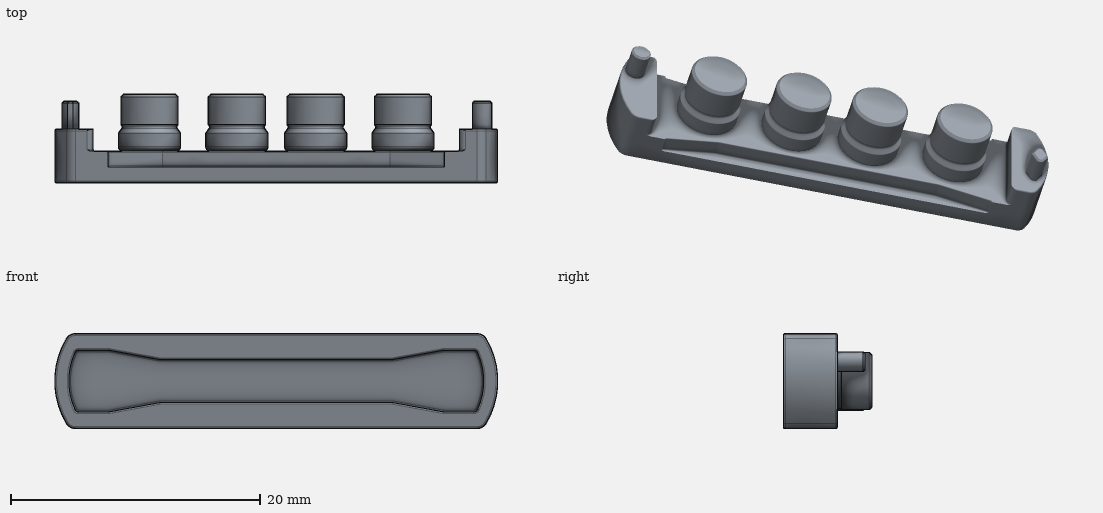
import cadquery as cq
import math

length = 35.52
height = 7.62
half_length = length / 2
half_height = height / 2
end_radius = 6.6
end_corner_radius = 0.85
rim_radius = 0.15

reach = 0.1

post_depth = 4.32
plate_depth = 2.54
plug_tip = 7.11
pin_tip = 6.55

post_inner_x = 14.68
post_corner_radius = 0.5
post_root_radius = 0.15
plate_edge_radius = 0.1

waist_step = 0.75

waist_start_x = 13.4
waist_end_x = 9.3
recess_margin = 1.13
recess_half_height = 2.47
recess_depth = 0.8
recess_fillet = 0.13
recess_corner_radius = 0.3

pocket_end_x = 13.5
pocket_end_depth = 0.15
pocket_front_y = plate_depth / 2
pocket_waist_end_x = 9.1
pocket_fillet = 0.12

plug_spacings = (6.31, 20.32)
plug_radius = 2.3
plug_tip_chamfer = 0.22
plug_tip_round = 0.08
plug_tip_angle = math.radians(45)
collar_radius = 2.5
collar_root_radius = 0.38
shoulder_y = 3.95
shoulder_round = 0.06
shoulder_angle = math.radians(35)
neck_bottom_y = 4.36
neck_top_y = 4.67

pin_x = 16.5
pin_z = 1.55
pin_radius = 0.79
pin_tip_chamfer = 0.15
relieved_half_width = 0.68
relieved_land_half_width = 0.22


def arc_sag(radius, half_chord):
    return radius - math.sqrt(radius**2 - half_chord**2)


def at_depth(y):
    """Sketch plane parallel to the front face; its local Y is the part's Z."""
    return cq.Workplane("XZ", origin=(0, y, 0))


def body_block():
    corner_x = half_length - arc_sag(end_radius, half_height)
    return (
        at_depth(0)
        .moveTo(-corner_x, half_height)
        .lineTo(corner_x, half_height)
        .threePointArc((half_length, 0), (corner_x, -half_height))
        .lineTo(-corner_x, -half_height)
        .threePointArc((-half_length, 0), (-corner_x, half_height))
        .close()
        .extrude(-post_depth)
        .edges("|Y")
        .fillet(end_corner_radius)
        .faces("<Y or >Y")
        .edges()
        .fillet(rim_radius)
    )


def gap_between_posts():
    """Space behind the plate; its ends flare so that the posts get rounded inner corners."""
    flare_x = post_inner_x + post_corner_radius
    straight_z = half_height - post_corner_radius
    swing = post_corner_radius * math.sqrt(0.5)
    middle_x = flare_x - swing
    middle_z = straight_z + swing
    return (
        at_depth(plate_depth)
        .moveTo(-flare_x, half_height)
        .lineTo(flare_x, half_height)
        .threePointArc((middle_x, middle_z), (post_inner_x, straight_z))
        .lineTo(post_inner_x, -straight_z)
        .threePointArc((middle_x, -middle_z), (flare_x, -half_height))
        .lineTo(-flare_x, -half_height)
        .threePointArc((-middle_x, -middle_z), (-post_inner_x, -straight_z))
        .lineTo(-post_inner_x, straight_z)
        .threePointArc((-middle_x, middle_z), (-flare_x, half_height))
        .close()
        .extrude(plate_depth - post_depth)
    )


def plate_back_edges(body, start, end):
    """Edges on the back face of the plate inside a rectangle given by two (x, z) corners."""
    near = (start[0] - reach, plate_depth - reach, start[1] - reach)
    far = (end[0] + reach, plate_depth + reach, end[1] + reach)
    return body.edges(cq.selectors.BoxSelector(near, far))


def round_post_roots(body):
    """Fillet where the inner faces of the posts meet the plate."""
    flare_x = post_inner_x + post_corner_radius
    for left_x, right_x in ((-flare_x, -post_inner_x), (post_inner_x, flare_x)):
        roots = plate_back_edges(body, (left_x, -half_height), (right_x, half_height))
        body = roots.fillet(post_root_radius)
    return body


def round_plate_edges(body):
    """Round over the long rear edges of the plate, along the side pockets."""
    inner_z = half_height - pocket_end_depth - waist_step
    for bottom_z, top_z in ((-half_height, -inner_z), (inner_z, half_height)):
        rims = plate_back_edges(body, (-pocket_end_x, bottom_z), (pocket_end_x, top_z))
        body = rims.fillet(plate_edge_radius)
    return body


def front_recess():
    end_x = half_length - recess_margin
    arc_radius = end_radius - recess_margin
    corner_x = end_x - arc_sag(arc_radius, recess_half_height)
    waist_z = recess_half_height - waist_step
    return (
        at_depth(0)
        .moveTo(-corner_x, recess_half_height)
        .lineTo(-waist_start_x, recess_half_height)
        .lineTo(-waist_end_x, waist_z)
        .lineTo(waist_end_x, waist_z)
        .lineTo(waist_start_x, recess_half_height)
        .lineTo(corner_x, recess_half_height)
        .threePointArc((end_x, 0), (corner_x, -recess_half_height))
        .lineTo(waist_start_x, -recess_half_height)
        .lineTo(waist_end_x, -waist_z)
        .lineTo(-waist_end_x, -waist_z)
        .lineTo(-waist_start_x, -recess_half_height)
        .lineTo(-corner_x, -recess_half_height)
        .threePointArc((-end_x, 0), (-corner_x, recess_half_height))
        .close()
        .extrude(-recess_depth)
        .edges("|Y")
        .edges("<X or >X")
        .fillet(recess_corner_radius)
        .faces(">Y")
        .edges()
        .fillet(recess_fillet)
    )


def round_recess_rim(body):
    """Round over the edge where the recess walls meet the front face."""
    front_wires = body.faces("<Y").val().innerWires()
    return body.newObject([body.val().fillet(recess_fillet, front_wires[0].Edges())])


def upper_pocket():
    end_z = half_height - pocket_end_depth
    floor_z = end_z - waist_step
    outside_z = half_height + reach
    outline = [
        (-pocket_end_x, outside_z),
        (-pocket_end_x, end_z),
        (-pocket_waist_end_x, floor_z),
        (pocket_waist_end_x, floor_z),
        (pocket_end_x, end_z),
        (pocket_end_x, outside_z),
    ]
    around_end_corners = (
        (-pocket_end_x - reach, pocket_front_y, end_z - reach),
        (pocket_end_x + reach, post_depth, end_z + reach),
    )
    return (
        at_depth(pocket_front_y)
        .polyline(outline)
        .close()
        .extrude(pocket_front_y - post_depth)
        .edges("|Y")
        .edges(cq.selectors.BoxSelector(*around_end_corners))
        .fillet(pocket_fillet)
        .faces("<Y")
        .edges("not >Z")
        .fillet(pocket_fillet)
    )


def bend_offset(rise, angle):
    """Radial shift of an arc that leaves the axis direction and turns by the angle within the rise."""
    return rise * math.tan(angle / 2)


def plug(x):
    """Round plug along Y: a collar, a grooved neck and a straight tip with a chamfered end."""
    root_inset = collar_root_radius * (1 - math.sqrt(0.5))
    shoulder_end_y = shoulder_y + shoulder_round
    shoulder_end_radius = collar_radius - bend_offset(shoulder_round, shoulder_angle)
    neck_bottom_radius = shoulder_end_radius - (neck_bottom_y - shoulder_end_y) * math.tan(shoulder_angle)
    tip_radius = plug_radius - plug_tip_chamfer
    chamfer_start_radius = plug_radius - bend_offset(plug_tip_round, plug_tip_angle)
    chamfer_start_y = plug_tip - (chamfer_start_radius - tip_radius) / math.tan(plug_tip_angle)
    return (
        cq.Workplane("ZY")
        .moveTo(0, pocket_front_y)
        .lineTo(collar_radius - collar_root_radius, pocket_front_y)
        .lineTo(collar_radius - collar_root_radius, plate_depth)
        .threePointArc(
            (collar_radius - root_inset, plate_depth + root_inset),
            (collar_radius, plate_depth + collar_root_radius),
        )
        .lineTo(collar_radius, shoulder_y)
        .tangentArcPoint((shoulder_end_radius, shoulder_end_y), relative=False)
        .lineTo(neck_bottom_radius, neck_bottom_y)
        .tangentArcPoint((plug_radius, neck_top_y), relative=False)
        .lineTo(plug_radius, chamfer_start_y - plug_tip_round)
        .tangentArcPoint((chamfer_start_radius, chamfer_start_y), relative=False)
        .lineTo(tip_radius, plug_tip)
        .lineTo(0, plug_tip)
        .close()
        .revolve(360, (0, 0), (0, 1))
        .translate((x, 0, 0))
    )


def round_pin():
    return (
        at_depth(plate_depth)
        .center(pin_x, pin_z)
        .circle(pin_radius)
        .extrude(plate_depth - pin_tip)
        .faces(">Y")
        .chamfer(pin_tip_chamfer)
    )


def relieved_pin():
    """Pin cut back to a diamond that keeps two narrow round lands, above and below."""
    land_z = math.sqrt(pin_radius**2 - relieved_land_half_width**2)
    return (
        at_depth(plate_depth)
        .center(-pin_x, -pin_z)
        .moveTo(-relieved_half_width, 0)
        .lineTo(-relieved_land_half_width, land_z)
        .threePointArc((0, pin_radius), (relieved_land_half_width, land_z))
        .lineTo(relieved_half_width, 0)
        .lineTo(relieved_land_half_width, -land_z)
        .threePointArc((0, -pin_radius), (-relieved_land_half_width, -land_z))
        .close()
        .extrude(plate_depth - pin_tip)
        .faces(">Y")
        .chamfer(pin_tip_chamfer)
    )


body = round_post_roots(body_block().cut(gap_between_posts()))
body = round_recess_rim(body.cut(front_recess()))
body = body.cut(upper_pocket()).cut(upper_pocket().mirror("XY"))
body = round_plate_edges(body)
for spacing in plug_spacings:
    for side in (-1, 1):
        body = body.union(plug(side * spacing / 2))
result = body.union(round_pin()).union(relieved_pin())